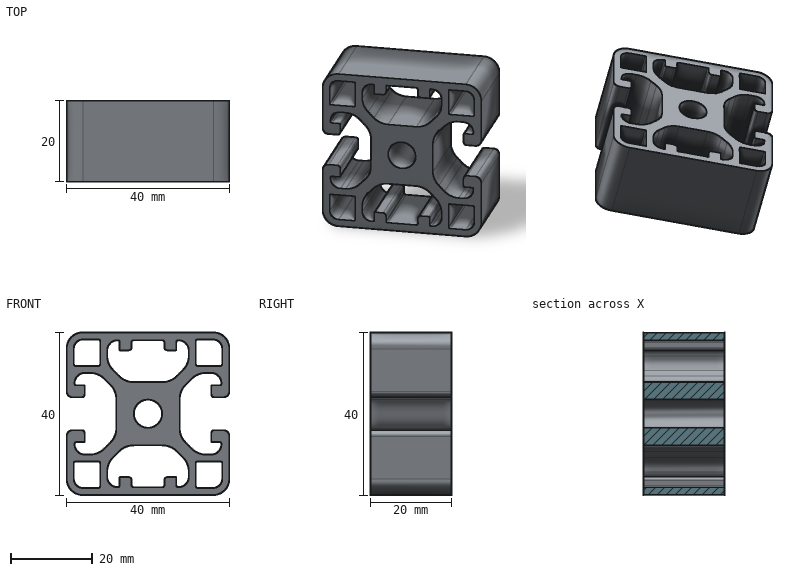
import cadquery as cq

side = 40.0
length = side / 2
half = side / 2
outer_radius = 4.0
bore_diameter = 6.9

chamber_wall = 1.8
chamber_side = 6.45
chamber_outer_radius = outer_radius - chamber_wall
chamber_small_radius = 0.4

slot_wall = 2.0
slot_floor = 7.8
slot_half_width = 10.0
flank_offset = 2.15
flank_radius = 5.0
shoulder_radius = 2.5

lip_depth = 4.5
lip_outer_half = 7.0
throat_half = 4.0
lip_root_radius = 0.4
lip_back_radius = 0.3
lip_throat_radius = 0.8
mouth_radius = 1.5
closed_root_radius = 0.4


def prism(points):
    """Extrude an XZ outline along Y, over the full length of the profile."""
    return cq.Workplane("XZ").polyline(points).close().extrude(length / 2, both=True)


def round_corner(body, corner, radius):
    """Fillet the lengthwise edge at an XZ corner."""
    x, z = corner
    return body.edges(cq.selectors.NearestToPointSelector((x, 0, z))).fillet(radius)


def mirrored(corner):
    """Mirror image of an XZ corner in the plane X = 0."""
    x, z = corner
    return (-x, z)


def turned(body, angle):
    """Turn a body about the profile axis."""
    return body.rotate((0, 0, 0), (0, 1, 0), angle)


def slot_cutter(is_open):
    """Void of the slot on the +Z side, with or without a mouth through the outer face."""
    skin = half - slot_wall
    lip_tip = half - lip_depth
    throat_top = half if is_open else skin
    rounded_corners = [
        ((slot_floor - flank_offset, slot_floor), flank_radius),
        ((slot_half_width, slot_half_width + flank_offset), flank_radius),
        ((slot_half_width, skin), shoulder_radius),
        ((lip_outer_half, skin), lip_root_radius),
        ((lip_outer_half, lip_tip), lip_back_radius),
        ((throat_half, lip_tip), lip_throat_radius),
        ((throat_half, throat_top), 0 if is_open else closed_root_radius),
    ]
    right_side = [corner for corner, radius in rounded_corners]
    left_side = [mirrored(corner) for corner in reversed(right_side)]
    cutter = prism(right_side + left_side)
    for corner, radius in rounded_corners:
        if radius > 0:
            cutter = round_corner(cutter, corner, radius)
            cutter = round_corner(cutter, mirrored(corner), radius)
    return cutter


def chamber_cutter():
    """Void of the hollow chamber in the +X +Z corner."""
    far = half - chamber_wall
    near = far - chamber_side
    small_corners = [(near, far), (near, near), (far, near)]
    outer_corner = (far, far)
    cutter = prism(small_corners + [outer_corner])
    for corner in small_corners:
        cutter = round_corner(cutter, corner, chamber_small_radius)
    return round_corner(cutter, outer_corner, chamber_outer_radius)


body = cq.Workplane("XY").box(side, length, side).edges("|Y").fillet(outer_radius)
bore = cq.Workplane("XZ").circle(bore_diameter / 2).extrude(length / 2, both=True)
body = body.cut(bore)

closed_slot = slot_cutter(is_open=False)
open_slot = slot_cutter(is_open=True)
for angle in (0, 180):
    body = body.cut(turned(closed_slot, angle))
    body = body.cut(turned(open_slot, angle + 90))

chamber = chamber_cutter()
for angle in (0, 90, 180, 270):
    body = body.cut(turned(chamber, angle))

for x in (-half, half):
    for z in (-throat_half, throat_half):
        body = round_corner(body, (x, z), mouth_radius)

result = body